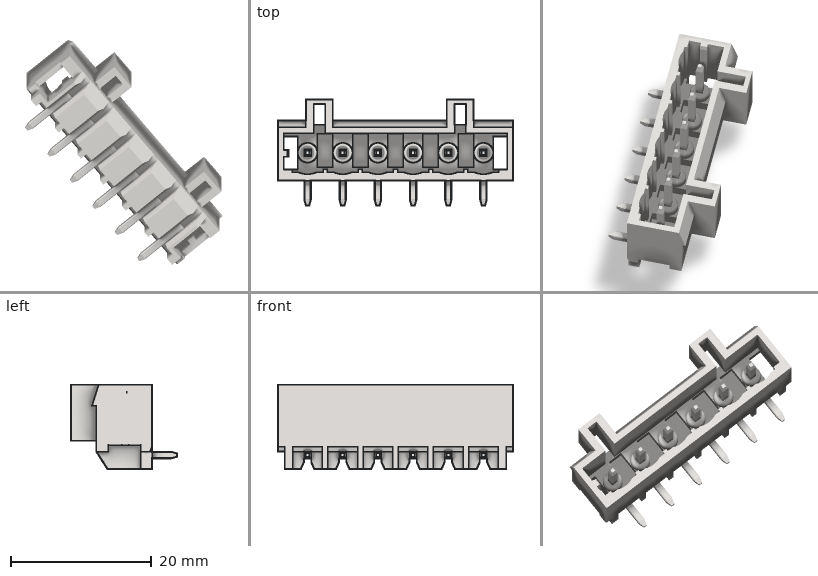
import cadquery as cq

PIN_COUNT = 6
PITCH = 5.0
PIN_XS = [(i - (PIN_COUNT - 1) / 2) * PITCH for i in range(PIN_COUNT)]
GAP_XS = [x + PITCH / 2 for x in PIN_XS[:-1]]
PIN_Y = 3.95

PIN_WIDTH = 1.0
PIN_TOP = 11.25
TAIL_TOP = 2.5
TAIL_END = -3.55
TIP_LENGTH = 0.9
TIP_WIDTH = 0.5
TAIL_CHAMFER = 0.12
TAIL_Z = TAIL_TOP - PIN_WIDTH / 2

LENGTH = 33.4
HEIGHT = 12.0
BACK_Y = 7.95
UNDERSIDE = 2.5
FLOOR = 4.0
END_WALL = 0.85
CAVITY_FRONT = 1.6
CAVITY_BACK = 6.72
INNER_HALF = LENGTH / 2 - END_WALL
FRONT_CHAMFER_DEPTH = 0.3
FRONT_CHAMFER_HEIGHT = 0.7

SCALLOP_WIDTH = 4.4
SCALLOP_FRONT = 1.2
SCALLOP_RADIUS = 3.05

RIDGE_BOTTOM = 9.0
RIDGE_Y = 8.55
RIDGE_TOP_Y = 7.6

TOWER_SPACING = 4 * PITCH
TOWER_OFFSET = 1.69
TOWER_FIRST_X = PIN_XS[0] + TOWER_OFFSET
TOWER_XS = [TOWER_FIRST_X, TOWER_FIRST_X + TOWER_SPACING]
TOWER_WIDTH = 3.84
TOWER_BACK = 11.55
TOWER_BOTTOM = 4.0
TOWER_SLOT_WIDTH = 1.6
TOWER_SLOT_BACK = 10.86

COLLAR_DIAMETER = 2.8
COLLAR_HEIGHT = 1.0
COLLAR_ROUND = 0.38
POCKET_WIDTH = PITCH - COLLAR_DIAMETER
POCKET_FRONT = 1.9
POCKET_BACK = 6.64
POCKET_BOTTOM = UNDERSIDE
WINDOW_BACK = 6.24
WINDOW_INNER_X = PIN_XS[-1] + COLLAR_DIAMETER / 2
WALL_NOTCH_TOP = 3.4

RIB_LENGTH = 0.7
RIB_WIDTH = 1.0
RIB_Y = 3.85
RIB_CHAMFER_LENGTH = 0.2
RIB_CHAMFER_HEIGHT = 0.6

FOOT_LENGTH = 31.5
FOOT_SLOPE_Y = 6.35
PLATE_FRONT = 1.0
BAY_WIDTH = 4.2
SLOT_NECK_Z = 1.0
SLOT_MOUTH_WIDTH = 1.9


def box(x_min, x_max, y_min, y_max, z_min, z_max):
    """Axis-aligned block between the given limits."""
    block = cq.Workplane("XY").box(x_max - x_min, y_max - y_min, z_max - z_min, centered=False)
    return block.translate((x_min, y_min, z_min))


def centred_box(x, width, y_min, y_max, z_min, z_max):
    """Axis-aligned block centred on x."""
    return box(x - width / 2, x + width / 2, y_min, y_max, z_min, z_max)


def side_profile(points, length):
    """Prism of a (y, z) outline, centred on x = 0."""
    return cq.Workplane("YZ").polyline(points).close().extrude(length / 2, both=True)


def shroud():
    """Shroud walls and floor with the latch ridge and the chamfered lower front edge."""
    return side_profile(
        [
            (FRONT_CHAMFER_DEPTH, UNDERSIDE),
            (BACK_Y, UNDERSIDE),
            (BACK_Y, RIDGE_BOTTOM),
            (RIDGE_Y, RIDGE_BOTTOM),
            (RIDGE_TOP_Y, HEIGHT),
            (0, HEIGHT),
            (0, UNDERSIDE + FRONT_CHAMFER_HEIGHT),
        ],
        LENGTH,
    )


def foot():
    """Front legs joined by set-back plates, and the sloped base that carries the pins."""
    leg_bar = box(-FOOT_LENGTH / 2, FOOT_LENGTH / 2, 0, CAVITY_FRONT, 0, FLOOR)
    base = side_profile(
        [
            (CAVITY_FRONT, 0),
            (FOOT_SLOPE_Y, 0),
            (BACK_Y, UNDERSIDE),
            (BACK_Y, FLOOR),
            (CAVITY_FRONT, FLOOR),
        ],
        2 * WINDOW_INNER_X,
    )
    body = leg_bar.union(base)
    for x in PIN_XS:
        body = body.cut(centred_box(x, BAY_WIDTH, 0, PLATE_FRONT, 0, FLOOR))
    return body


def tail_slot(x):
    """Slot that admits a pin from below, flared at its mouth."""
    neck = PIN_WIDTH / 2
    mouth = SLOT_MOUTH_WIDTH / 2
    outline = [
        (-mouth, 0),
        (mouth, 0),
        (neck, SLOT_NECK_Z),
        (neck, TAIL_TOP),
        (-neck, TAIL_TOP),
        (-neck, SLOT_NECK_Z),
    ]
    slot = cq.Workplane("XZ").polyline(outline).close().extrude(-BACK_Y)
    return slot.translate((x, 0, 0))


def scallop(x):
    """Relief in the front wall: a shallow step deepened by an arc around the pin."""
    step = centred_box(x, SCALLOP_WIDTH, SCALLOP_FRONT, PIN_Y, FLOOR, HEIGHT)
    arc = cq.Workplane("XY", origin=(x, PIN_Y, FLOOR)).circle(SCALLOP_RADIUS).extrude(HEIGHT - FLOOR)
    return step.union(arc.intersect(centred_box(x, SCALLOP_WIDTH, 0, PIN_Y, FLOOR, HEIGHT)))


def collar(x):
    """Rounded collar that stands on the floor around a pin."""
    ring = cq.Workplane("XY", origin=(x, PIN_Y, FLOOR)).circle(COLLAR_DIAMETER / 2).extrude(COLLAR_HEIGHT)
    return ring.faces(">Z").edges().fillet(COLLAR_ROUND)


def coding_rib():
    """Small rib on the inner face of the -X end wall, chamfered at its free upper edge."""
    tip = RIB_LENGTH - RIB_CHAMFER_LENGTH
    outline = [
        (0, WALL_NOTCH_TOP),
        (RIB_LENGTH, WALL_NOTCH_TOP),
        (RIB_LENGTH, HEIGHT - RIB_CHAMFER_HEIGHT),
        (tip, HEIGHT),
        (0, HEIGHT),
    ]
    rib = cq.Workplane("XZ").polyline(outline).close().extrude(RIB_WIDTH / 2, both=True)
    return rib.translate((-INNER_HALF, RIB_Y, 0))


def make_housing():
    body = shroud().union(foot())
    for x in TOWER_XS:
        body = body.union(centred_box(x, TOWER_WIDTH, CAVITY_BACK, TOWER_BACK, TOWER_BOTTOM, HEIGHT))

    body = body.cut(box(-INNER_HALF, INNER_HALF, CAVITY_FRONT, CAVITY_BACK, FLOOR, HEIGHT))
    for x in PIN_XS:
        body = body.cut(scallop(x))
    for x in TOWER_XS:
        body = body.cut(centred_box(x, TOWER_SLOT_WIDTH, PIN_Y, TOWER_SLOT_BACK, FLOOR, HEIGHT))

    for x in GAP_XS:
        body = body.cut(centred_box(x, POCKET_WIDTH, POCKET_FRONT, POCKET_BACK, POCKET_BOTTOM, FLOOR))
    for side in (-1, 1):
        window_x = side * (WINDOW_INNER_X + INNER_HALF) / 2
        window_width = INNER_HALF - WINDOW_INNER_X
        body = body.cut(centred_box(window_x, window_width, CAVITY_FRONT, WINDOW_BACK, 0, FLOOR))
        notch_x = side * (LENGTH - END_WALL) / 2
        body = body.cut(centred_box(notch_x, END_WALL, CAVITY_FRONT, WINDOW_BACK, UNDERSIDE, WALL_NOTCH_TOP))

    pin_front = PIN_Y - PIN_WIDTH / 2
    pin_back = PIN_Y + PIN_WIDTH / 2
    for x in PIN_XS:
        body = body.union(collar(x))
        body = body.cut(centred_box(x, PIN_WIDTH, pin_front, pin_back, TAIL_TOP, HEIGHT))
        body = body.cut(tail_slot(x))
    return body.union(coding_rib())


def pointed_bar(length):
    """Square bar along +Z from the origin, ending in a tapered tip."""
    shank = cq.Workplane("XY").rect(PIN_WIDTH, PIN_WIDTH).extrude(length - TIP_LENGTH)
    tip = (
        cq.Workplane("XY", origin=(0, 0, length - TIP_LENGTH))
        .rect(PIN_WIDTH, PIN_WIDTH)
        .workplane(offset=TIP_LENGTH)
        .rect(TIP_WIDTH, TIP_WIDTH)
        .loft()
    )
    return shank.union(tip)


def make_pin(x):
    tail_length = PIN_Y - TAIL_END
    tail_envelope = (
        cq.Workplane("XY")
        .rect(PIN_WIDTH, PIN_WIDTH)
        .extrude(tail_length)
        .edges("|Z")
        .chamfer(TAIL_CHAMFER)
    )
    tail = (
        pointed_bar(tail_length)
        .intersect(tail_envelope)
        .rotate((0, 0, 0), (1, 0, 0), 90)
        .translate((0, PIN_Y, TAIL_Z))
    )
    upright_bottom = TAIL_TOP - PIN_WIDTH
    upright = pointed_bar(PIN_TOP - upright_bottom).translate((0, PIN_Y, upright_bottom))
    return upright.union(tail).translate((x, 0, 0))


housing = make_housing()
pins = [make_pin(x) for x in PIN_XS]

result = cq.Compound.makeCompound([housing.solids().val(), *[pin.solids().val() for pin in pins]])